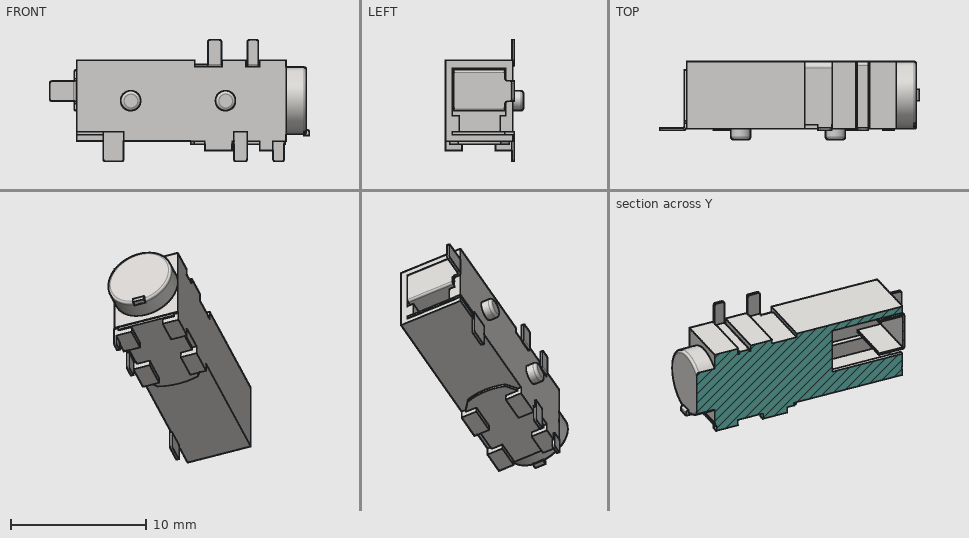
import cadquery as cq
import math

OVERALL_LENGTH = 19.2

BODY_LENGTH = 15.5
BODY_DEPTH = 5.0
BODY_HEIGHT = 6.0
MID_Y = BODY_DEPTH / 2
MID_Z = BODY_HEIGHT / 2

NOSE_LENGTH = 1.5
NOSE_ROUNDING = 0.2

PEG_DIAMETER = 1.48
PEG_LENGTH = 0.8
PEG_ROUNDING = 0.23
PEG_X = (4.0, 11.0)

SHEET = 0.2
PROUD = 0.12
TERMINAL_BACK = SHEET - PROUD
TIP_ROUNDING = 0.17
TOP_TIP_Z = 7.5
BOTTOM_TIP_Z = -1.5

NOTCH_DEPTH = 0.48
NOTCH_FLOOR = BODY_HEIGHT - NOTCH_DEPTH
STRIP_RISE = 0.17
STRIP_TOP = NOTCH_FLOOR + STRIP_RISE
WIDE_NOTCH = (8.74, 10.75)
NARROW_NOTCH = (12.52, 13.54)
NARROW_STRIP = (12.61, 13.44)
WIDE_STRIP_FRONT = 0.3
WIDE_STRIP_BEND = 0.46
NARROW_STRIP_BEND = 0.27
WIDE_TERMINAL = (9.7, 10.71)
TERMINAL_BEND = 0.17

SLOT_BOTTOM = 0.46
SLOT_TOP = 0.71
SLOT_REAR = 4.47
STRAP_FRONT = 0.6
STRAP_SETBACK = 0.02

LEFT_TERMINAL = (1.95, 3.48)
MIDDLE_TERMINAL = (11.62, 12.61)
NOSE_TERMINAL = (14.52, 15.35)

WINDOW_Y = (0.52, SLOT_REAR)
WINDOW_Z = (1.88, 5.4)
THROAT_Y = (0.95, 3.95)
WINDOW_DEPTH = 5.76

PLATE_Y = (0.6, 4.35)
PLATE_Z = (2.25, 5.28)
PLATE_PROUD = 0.2
FLANGE_REACH = 1.92
TAB_Z = (2.95, 4.45)
TAB_TIP_X = -2.0
TAB_RELIEF = 0.17
TAB_INNER_BEND = 0.08
TAB_OUTER_BEND = TAB_INNER_BEND + SHEET

FOOT_DEPTH = 0.7
FOOT_X = ((9.48, 11.5), (13.54, NOSE_TERMINAL[1]))
FOOT_Y = ((0, 1.29), (3.75, BODY_DEPTH))
COVER_X = (8.43, 15.44)
COVER_Y = (0.27, 4.65)
COVER_THICKNESS = 0.23
COVER_TAPER_LENGTH = 0.79
COVER_TAPER = 0.61
COVER_END_BULGE = 0.25

SPRING_Y = (2.07, 2.94)
SPRING_Z = (0.42, 0.85)
SPRING_ROUNDING = 0.17
SPRING_TIP_X = OVERALL_LENGTH + TAB_TIP_X


def block(x, y, z):
    """Box given by its (low, high) limits along each axis."""
    size = [high - low for low, high in (x, y, z)]
    return cq.Workplane("XY").box(*size, centered=False).translate((x[0], y[0], z[0]))


def terminal(x, z, tip):
    """Upright strip on the front face with rounded corners at its tip (">Z" or "<Z")."""
    strip = block(x, (-PROUD, TERMINAL_BACK), z)
    return strip.faces(tip).edges("|Y").fillet(TIP_ROUNDING)


def notch_cutter(x, strip_front, bend):
    """Space above a top contact strip: step up at the front, curve down at the rear."""
    flat_end = BODY_DEPTH - bend
    arc_middle = bend * math.cos(math.radians(45))
    return (
        cq.Workplane("YZ", origin=(x[0], 0, 0))
        .moveTo(0, BODY_HEIGHT)
        .lineTo(0, NOTCH_FLOOR)
        .lineTo(strip_front, NOTCH_FLOOR)
        .lineTo(strip_front, STRIP_TOP)
        .lineTo(flat_end, STRIP_TOP)
        .threePointArc(
            (flat_end + arc_middle, STRIP_TOP - bend + arc_middle),
            (BODY_DEPTH, STRIP_TOP - bend),
        )
        .lineTo(BODY_DEPTH, BODY_HEIGHT)
        .close()
        .extrude(x[1] - x[0])
    )


def make_housing():
    """Block with its round nose, four feet and two front pegs."""
    body = block((0, BODY_LENGTH), (0, BODY_DEPTH), (0, BODY_HEIGHT))
    nose = (
        cq.Workplane("YZ", origin=(BODY_LENGTH, MID_Y, MID_Z))
        .circle(BODY_DEPTH / 2)
        .extrude(NOSE_LENGTH)
        .faces(">X").edges().fillet(NOSE_ROUNDING)
    )
    body = body.union(nose)
    for foot_x in FOOT_X:
        for foot_y in FOOT_Y:
            body = body.union(block(foot_x, foot_y, (-FOOT_DEPTH, 0)))
    pegs = (
        cq.Workplane("XZ")
        .pushPoints([(x, MID_Z) for x in PEG_X])
        .circle(PEG_DIAMETER / 2)
        .extrude(PEG_LENGTH)
        .faces("<Y").edges().fillet(PEG_ROUNDING)
    )
    return body.union(pegs)


def cut_notches(body):
    """Open both top notches, leaving the contact strips standing."""
    body = body.cut(notch_cutter(WIDE_NOTCH, WIDE_STRIP_FRONT, WIDE_STRIP_BEND))
    body = body.cut(notch_cutter(NARROW_STRIP, TERMINAL_BACK, NARROW_STRIP_BEND))
    side_gaps = ((NARROW_NOTCH[0], NARROW_STRIP[0]), (NARROW_STRIP[1], NARROW_NOTCH[1]))
    for gap_x in side_gaps:
        body = body.cut(block(gap_x, (0, BODY_DEPTH), (NOTCH_FLOOR, BODY_HEIGHT)))
    return body


def cut_left_end(body):
    """Open the stepped window and the strap slot in the left face."""
    window = block((0, WINDOW_DEPTH), WINDOW_Y, WINDOW_Z)
    throat = block((0, WINDOW_DEPTH), THROAT_Y, (SLOT_TOP, WINDOW_Z[0]))
    slot = block((0, LEFT_TERMINAL[0]), (0, STRAP_FRONT), (SLOT_BOTTOM, SLOT_TOP))
    strap_end = block((0, STRAP_SETBACK), (STRAP_FRONT, SLOT_REAR), (SLOT_BOTTOM, SLOT_TOP))
    return body.cut(window).cut(throat).cut(slot).cut(strap_end)


def make_plate():
    """Channel-shaped plate with a neck that folds into a left-pointing tab."""
    sheet_x = (-PLATE_PROUD, SHEET - PLATE_PROUD)
    outer = block((-PLATE_PROUD, FLANGE_REACH), PLATE_Y, PLATE_Z)
    outer = outer.faces("<X").edges("|Y").fillet(TIP_ROUNDING)
    inner_z = (PLATE_Z[0] + SHEET, PLATE_Z[1] - SHEET)
    channel = outer.cut(block((sheet_x[1], FLANGE_REACH), PLATE_Y, inner_z))

    neck_y = PLATE_Y[0] - TAB_RELIEF
    neck = (
        cq.Workplane("YZ", origin=(sheet_x[0], 0, 0))
        .moveTo(PLATE_Y[0], TAB_Z[0] - TAB_RELIEF)
        .lineTo(neck_y, TAB_Z[0])
        .lineTo(-PROUD, TAB_Z[0])
        .lineTo(-PROUD, TAB_Z[1])
        .lineTo(neck_y, TAB_Z[1])
        .lineTo(PLATE_Y[0], TAB_Z[1] + TAB_RELIEF)
        .close()
        .extrude(SHEET)
    )
    tab = block((TAB_TIP_X, sheet_x[0]), (-PROUD, TERMINAL_BACK), TAB_Z)
    tab = tab.faces("<X").edges("|Y").fillet(TIP_ROUNDING)
    inner_corner = cq.NearestToPointSelector((sheet_x[0], TERMINAL_BACK, sum(TAB_Z) / 2))
    outer_corner = cq.NearestToPointSelector((sheet_x[1], -PROUD, sum(TAB_Z) / 2))
    bent_tab = neck.union(tab).edges(inner_corner).fillet(TAB_INNER_BEND)
    bent_tab = bent_tab.edges(outer_corner).fillet(TAB_OUTER_BEND)
    return channel.union(bent_tab)


def make_cover():
    """Thin plate on the underside, tapering to a bulging left end."""
    end_x = COVER_X[0] + COVER_END_BULGE
    taper_x = end_x + COVER_TAPER_LENGTH
    front, rear = COVER_Y
    return (
        cq.Workplane("XY")
        .moveTo(COVER_X[1], front)
        .lineTo(COVER_X[1], rear)
        .lineTo(taper_x, rear)
        .lineTo(end_x, rear - COVER_TAPER)
        .threePointArc((COVER_X[0], (front + rear) / 2), (end_x, front + COVER_TAPER))
        .lineTo(taper_x, front)
        .close()
        .extrude(-COVER_THICKNESS)
    )


def make_spring_tip():
    """Small contact tip rooted in the nose and rounded over at its top right edge."""
    face_x = BODY_LENGTH + NOSE_LENGTH
    root_x = face_x - NOSE_ROUNDING
    tip = block((root_x, SPRING_TIP_X), SPRING_Y, SPRING_Z)
    return tip.edges(">X and >Z").fillet(SPRING_ROUNDING)


def make_terminals():
    """All upright terminals, with the link that feeds the wide one."""
    pieces = []
    for x in (WIDE_TERMINAL, NARROW_STRIP):
        upright = terminal(x, (NOTCH_FLOOR, TOP_TIP_Z), ">Z")
        pieces.append(upright.edges("<Y and <Z").fillet(TERMINAL_BEND))
    for x in (LEFT_TERMINAL, MIDDLE_TERMINAL):
        pieces.append(terminal(x, (BOTTOM_TIP_Z, SLOT_TOP), "<Z"))
    pieces.append(terminal(NOSE_TERMINAL, (BOTTOM_TIP_Z, 0), "<Z"))
    link = block(WIDE_TERMINAL, (TERMINAL_BACK, WIDE_STRIP_FRONT), (NOTCH_FLOOR, STRIP_TOP))
    return pieces + [link]


result = cut_left_end(cut_notches(make_housing()))
for piece in make_terminals() + [make_plate(), make_cover(), make_spring_tip()]:
    result = result.union(piece)